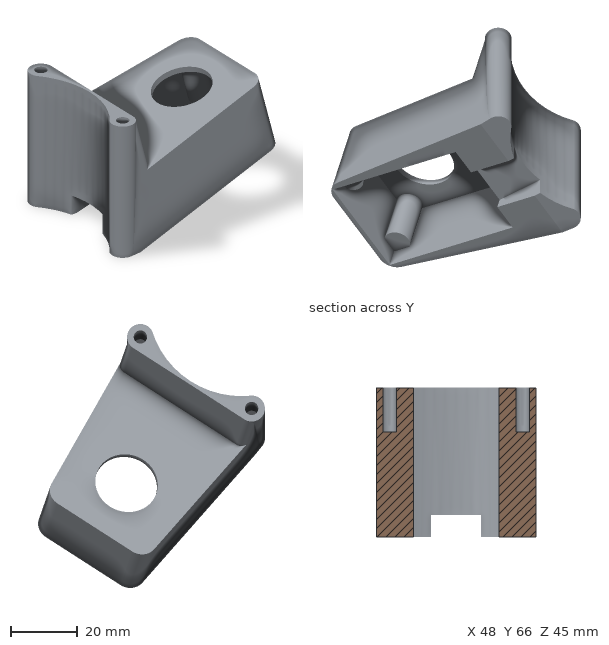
import cadquery as cq
import math

total_width = 48.0
total_length = 65.95
total_height = 45.0

rod_diameter = 8.0
concave_radius = 28.2
concave_apex_y = 7.05
concave_half_width = 18.15
screw_hole_diameter = 4.0
screw_hole_depth = 13.2

tilt_angle = 15.0
arm_thickness = 25.0
arm_rear_width = 36.0
arm_corner_radius = 5.0
step_corner_radius = 2.5
wall = 2.0
rear_wall = 1.5
cavity_width = 33.0
port_diameter = 19.0
port_from_rear = 18.0
boss_diameter = 8.0
boss_inset = 3.0
boss_recess = 6.0

notch_width = 15.2
notch_height = 6.6

rod_radius = rod_diameter / 2
rod_x = total_width / 2 - rod_radius
tilt = math.radians(tilt_angle)
arm_length = (total_length - rod_diameter) / math.cos(tilt)
step_y = total_height * math.sin(tilt)
arm_front_y = -rod_radius * math.cos(tilt)
taper = (total_width - arm_rear_width) / 2 / (arm_length - arm_front_y)
cavity_front_y = step_y + wall

arm_plane = cq.Plane(
    origin=(0, rod_diameter, 0),
    xDir=(1, 0, 0),
    normal=(0, -math.sin(tilt), math.cos(tilt)),
)


def tapered_block(front_y, rear_y, height, corner_radius):
    """Tapered block in the arm frame with rounded rear corners."""

    def half_width(y):
        return arm_rear_width / 2 + taper * (arm_length - y)

    front_half = half_width(front_y)
    rear_half = half_width(rear_y)
    block = (
        cq.Workplane(arm_plane)
        .polyline([(-front_half, front_y), (front_half, front_y), (rear_half, rear_y), (-rear_half, rear_y)])
        .close()
        .extrude(height)
    )
    rear_edges = cq.selectors.ParallelDirSelector(arm_plane.zDir)
    rear_face = cq.selectors.DirectionMinMaxSelector(arm_plane.yDir, True)
    return block.faces(rear_face).edges(rear_edges).fillet(corner_radius)


def arm_envelope():
    """Arm and the sloped backing above it, trimmed to the height of the plate."""
    front_reach = -total_height
    arm = tapered_block(front_reach, arm_length, arm_thickness, arm_corner_radius)
    backing = tapered_block(front_reach, step_y, 2 * total_height, step_corner_radius)
    limits = cq.Workplane("XY").box(
        total_width, total_length - rod_radius, total_height, centered=(True, False, False)
    ).translate((0, rod_radius, 0))
    return arm.union(backing).intersect(limits)


def plate_web():
    """Flat-backed web between the rods, before its front is hollowed."""
    tip_y = concave_apex_y - concave_radius + math.sqrt(concave_radius**2 - concave_half_width**2)
    return (
        cq.Workplane("XY")
        .polyline([
            (-concave_half_width, tip_y),
            (concave_half_width, tip_y),
            (rod_x, rod_radius),
            (rod_x, rod_diameter),
            (-rod_x, rod_diameter),
            (-rod_x, rod_radius),
        ])
        .close()
        .extrude(total_height)
    )


def upright_cylinders(diameter, base_z, height):
    """One cylinder on each rod axis."""
    return (
        cq.Workplane("XY", origin=(0, rod_radius, base_z))
        .pushPoints([(-rod_x, 0), (rod_x, 0)])
        .circle(diameter / 2)
        .extrude(height)
    )


concave_cylinder = (
    cq.Workplane("XY", origin=(0, concave_apex_y - concave_radius, 0))
    .circle(concave_radius)
    .extrude(total_height)
)
rods = upright_cylinders(rod_diameter, 0, total_height)
body = arm_envelope().union(plate_web()).union(rods).cut(concave_cylinder)

cavity_rear_y = arm_length - rear_wall
cavity = (
    cq.Workplane(arm_plane)
    .center(0, (cavity_front_y + cavity_rear_y) / 2)
    .rect(cavity_width, cavity_rear_y - cavity_front_y)
    .extrude(arm_thickness - wall)
)

boss_x = cavity_width / 2 - boss_inset
boss_y = cavity_rear_y - boss_inset
bosses = (
    cq.Workplane(arm_plane)
    .workplane(offset=boss_recess)
    .pushPoints([(-boss_x, boss_y), (boss_x, boss_y)])
    .circle(boss_diameter / 2)
    .extrude(arm_thickness - boss_recess)
)
cavity = cavity.cut(bosses)

port = (
    cq.Workplane(arm_plane)
    .workplane(offset=arm_thickness - 2 * wall)
    .center(0, arm_length - port_from_rear)
    .circle(port_diameter / 2)
    .extrude(3 * wall)
)

notch_length = rod_diameter + (cavity_front_y + wall) / math.cos(tilt)
notch = cq.Workplane("XY").box(notch_width, notch_length, notch_height, centered=(True, False, False))

screw_holes = upright_cylinders(screw_hole_diameter, total_height - screw_hole_depth, screw_hole_depth)

result = body.cut(cavity).cut(port).cut(notch).cut(screw_holes)